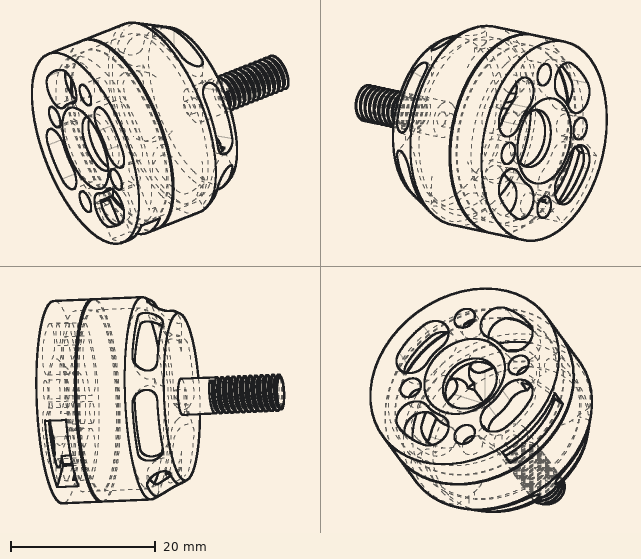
import cadquery as cq
import math

OUTER_RADIUS = 28.0 / 2
LENGTH = 31.5
INNER_RADIUS = 12.5

BASE_HEIGHT = 5.45
BASE_FLOOR = 3.0
BOWL_RADIUS = 6.0
BORE_RADIUS = 4.0
BOWL_DEPTH = BOWL_RADIUS - BORE_RADIUS
SCREW_HOLE_RADIUS = 1.5
SCREW_SPACING_X = 16.0
SCREW_SPACING_Z = 19.0
WINDOW_PITCH_RADIUS = 9.05
WINDOW_END_RADIUS = 2.45
WINDOW_SPAN = 25.5
WINDOW_COUNT = 4

EXIT_ANGLE = -45.0
EXIT_WIDTH = 11.02
EXIT_WEB = 1.0
EXIT_HEIGHT = 3.0
EXIT_START = 7.4

AIR_GAP = 0.2
BELL_BOTTOM = BASE_HEIGHT + AIR_GAP
BELL_TOP = 17.48
CONE_HEIGHT = 4.98
CONE_BOTTOM = BELL_TOP - CONE_HEIGHT
TOP_RADIUS = 11.55
WALL = OUTER_RADIUS - INNER_RADIUS
CONE_TILT = math.atan2(OUTER_RADIUS - TOP_RADIUS, CONE_HEIGHT)

VENT_COUNT = 6
VENT_RADIUS = 1.6
VENT_LENGTH = 10.27
VENT_CENTER = CONE_BOTTOM + CONE_HEIGHT / 2

SHAFT_RADIUS = 5.0 / 2
CENTER_HOLE_RADIUS = 1.0
CENTER_HOLE_DEPTH = 2.02
PITCH = 0.8
THREAD_DEPTH = 0.425
THREAD_START = 22.15
THREAD_START_ANGLE = -45.0
CREST_WIDTH = PITCH / 8
ROOT_WIDTH = PITCH / 4


def y_cylinder(radius, start, length, x=0.0, z=0.0):
    """Solid cylinder along +Y from Y = start."""
    return cq.Workplane(cq.Solid.makeCylinder(radius, length, cq.Vector(x, start, z), cq.Vector(0, 1, 0)))


def turned(profile):
    """Revolve an outline of (radius, Y) points about the Y axis."""
    return cq.Workplane("XY").polyline(profile).close().revolve(360, (0, 0, 0), (0, 1, 0))


def on_circle(radius, degrees):
    angle = math.radians(degrees)
    return (radius * math.cos(angle), radius * math.sin(angle))


def window_cutter(mid_angle):
    """Curved slot that follows a circle about the axis, cut through the base floor."""
    inner = WINDOW_PITCH_RADIUS - WINDOW_END_RADIUS
    outer = WINDOW_PITCH_RADIUS + WINDOW_END_RADIUS
    first = mid_angle - WINDOW_SPAN / 2
    last = mid_angle + WINDOW_SPAN / 2
    slot = (
        cq.Workplane("XZ")
        .moveTo(*on_circle(inner, first))
        .threePointArc(on_circle(inner, mid_angle), on_circle(inner, last))
        .tangentArcPoint(on_circle(outer, last), relative=False)
        .threePointArc(on_circle(outer, mid_angle), on_circle(outer, first))
        .tangentArcPoint(on_circle(inner, first), relative=False)
        .close()
    )
    return slot.extrude(-BASE_FLOOR)


def wire_exit_cutter():
    notch = cq.Workplane("XY").box(
        OUTER_RADIUS, EXIT_HEIGHT, EXIT_WIDTH, centered=(False, False, True)
    ).translate((EXIT_START, EXIT_WEB, 0))
    return notch.rotate((0, 0, 0), (0, 1, 0), -EXIT_ANGLE)


def make_base():
    base = turned([
        (BOWL_RADIUS, 0),
        (OUTER_RADIUS, 0),
        (OUTER_RADIUS, BASE_HEIGHT),
        (INNER_RADIUS, BASE_HEIGHT),
        (INNER_RADIUS, BASE_FLOOR),
        (BORE_RADIUS, BASE_FLOOR),
        (BORE_RADIUS, BOWL_DEPTH),
    ])
    for side in (-1, 1):
        base = base.cut(y_cylinder(SCREW_HOLE_RADIUS, 0, BASE_FLOOR, x=side * SCREW_SPACING_X / 2))
        base = base.cut(y_cylinder(SCREW_HOLE_RADIUS, 0, BASE_FLOOR, z=side * SCREW_SPACING_Z / 2))
    for index in range(WINDOW_COUNT):
        base = base.cut(window_cutter(45 + index * 360 / WINDOW_COUNT))
    return base.cut(wire_exit_cutter())


def bell_shell():
    """Cap with an even wall: a straight skirt, a cone and a flat top."""
    ceiling = BELL_TOP - WALL
    corner = CONE_BOTTOM - WALL * math.tan(CONE_TILT / 2)
    ceiling_radius = INNER_RADIUS - (ceiling - corner) * math.tan(CONE_TILT)
    return turned([
        (0, BELL_TOP),
        (TOP_RADIUS, BELL_TOP),
        (OUTER_RADIUS, CONE_BOTTOM),
        (OUTER_RADIUS, BELL_BOTTOM),
        (INNER_RADIUS, BELL_BOTTOM),
        (INNER_RADIUS, corner),
        (ceiling_radius, ceiling),
        (0, ceiling),
    ])


def vent_cutter(angle):
    """Round-ended slot running from the axis out through the cone."""
    slot = (
        cq.Workplane("XY", origin=(0, VENT_CENTER, 0))
        .slot2D(VENT_LENGTH, 2 * VENT_RADIUS)
        .extrude(OUTER_RADIUS)
    )
    return slot.rotate((0, 0, 0), (0, 1, 0), angle)


def thread_groove():
    """Trapezoid groove swept along a helix that runs out past the shaft end."""
    root_radius = SHAFT_RADIUS - THREAD_DEPTH
    flank_slope = (PITCH - CREST_WIDTH - ROOT_WIDTH) / 2 / THREAD_DEPTH
    overshoot = THREAD_DEPTH / 10
    mouth = (PITCH - CREST_WIDTH) / 2 + overshoot * flank_slope
    run = LENGTH + 2 * PITCH - THREAD_START
    helix = cq.Wire.makeHelix(PITCH, run, SHAFT_RADIUS)
    groove = (
        cq.Workplane("XZ")
        .polyline([
            (root_radius, -ROOT_WIDTH / 2),
            (root_radius, ROOT_WIDTH / 2),
            (SHAFT_RADIUS + overshoot, mouth),
            (SHAFT_RADIUS + overshoot, -mouth),
        ])
        .close()
        .sweep(cq.Workplane(helix), isFrenet=True)
    )
    return groove.rotate((0, 0, 0), (0, 0, 1), THREAD_START_ANGLE).translate((0, 0, THREAD_START))


def make_shaft():
    """Shaft with its threaded end, modelled along +Z and then laid along +Y."""
    overlong = LENGTH - BELL_TOP + 4 * PITCH
    blank = cq.Workplane("XY", origin=(0, 0, BELL_TOP)).circle(SHAFT_RADIUS).extrude(overlong)
    offcut = cq.Workplane("XY", origin=(0, 0, LENGTH)).circle(OUTER_RADIUS).extrude(overlong)
    return blank.cut(thread_groove()).cut(offcut).rotate((0, 0, 0), (1, 0, 0), -90)


def make_bell():
    bell = bell_shell()
    for index in range(VENT_COUNT):
        bell = bell.cut(vent_cutter(index * 360 / VENT_COUNT))
    bell = bell.union(make_shaft())
    return bell.cut(y_cylinder(CENTER_HOLE_RADIUS, BELL_TOP - WALL, CENTER_HOLE_DEPTH))


base = make_base()
bell = make_bell()
result = cq.Compound.makeCompound([base.val(), bell.val()])